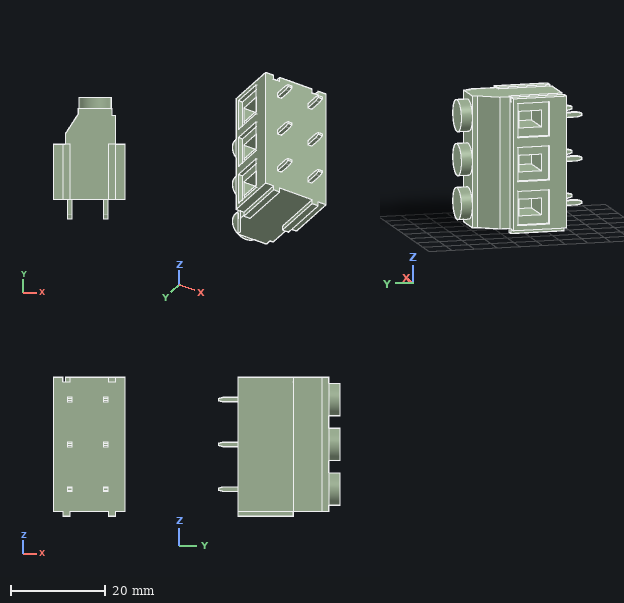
import cadquery as cq


BASE_WIDTH = 15.22
BASE_DEPTH = 11.76
HOUSING_DEPTH = 19.3
RAIL_HEIGHT = 1.0
OVERALL_HEIGHT = 29.55
HOUSING_HEIGHT = OVERALL_HEIGHT - RAIL_HEIGHT

POLES = 3
PITCH = HOUSING_HEIGHT / POLES

TOWER_LEFT = -5.05
TOWER_RIGHT = 5.62
TOP_LEFT = -2.36
TOP_RIGHT = 4.85
SLOPE_START = 14.05
SLOPE_END = 18.18
STEP_DEPTH = 1.4

RAIL_WIDTH = 1.55
RAIL_CENTER = TOWER_RIGHT - RAIL_WIDTH / 2

POCKET_START = 3.78
POCKET_LENGTH = 7.0
POCKET_HEIGHT = 7.42
POCKET_DEPTH = 1.0
WIRE_HOLE_START = 5.32
WIRE_HOLE_LENGTH = 4.95
WIRE_HOLE_HEIGHT = 3.6

SCREW_DIAMETER = 6.92
SCREW_HEIGHT = 2.42
SCREW_X = (TOP_LEFT + TOP_RIGHT) / 2

PIN_SIZE = 1.0
PIN_LENGTH = 4.17
PIN_TAPER = 1.0
PIN_TIP = 0.47
PIN_LEFT = -4.15
PIN_SPACING = 7.63

LEFT_FACE = -BASE_WIDTH / 2
POLE_HEIGHTS = [(pole + 0.5) * PITCH for pole in range(POLES)]


def box(x, y, z, width, depth, height):
    """Box with its lowest corner at (x, y, z)."""
    return cq.Workplane("XY").box(width, depth, height, centered=False).translate((x, y, z))


def make_housing():
    """Wide base with the narrower, sloped and stepped tower behind it."""
    outline = [
        (LEFT_FACE, 0),
        (-LEFT_FACE, 0),
        (-LEFT_FACE, BASE_DEPTH),
        (TOWER_RIGHT, BASE_DEPTH),
        (TOWER_RIGHT, HOUSING_DEPTH - STEP_DEPTH),
        (TOP_RIGHT, HOUSING_DEPTH - STEP_DEPTH),
        (TOP_RIGHT, HOUSING_DEPTH),
        (TOP_LEFT, HOUSING_DEPTH),
        (TOP_LEFT, SLOPE_END),
        (TOWER_LEFT, SLOPE_START),
        (TOWER_LEFT, BASE_DEPTH),
        (LEFT_FACE, BASE_DEPTH),
    ]
    return cq.Workplane("XY").polyline(outline).close().extrude(HOUSING_HEIGHT)


def make_rail(x_center, z_bottom):
    """Bar along the base, used both as a rail and as a groove cutter."""
    return box(x_center - RAIL_WIDTH / 2, 0, z_bottom, RAIL_WIDTH, BASE_DEPTH, RAIL_HEIGHT)


def make_wire_entry(z_center):
    """Shallow pocket with a blind wire hole that ends at the screw axis."""
    pocket = box(
        LEFT_FACE, POCKET_START, z_center - POCKET_HEIGHT / 2,
        POCKET_DEPTH, POCKET_LENGTH, POCKET_HEIGHT,
    )
    hole = box(
        LEFT_FACE, WIRE_HOLE_START, z_center - WIRE_HOLE_HEIGHT / 2,
        SCREW_X - LEFT_FACE, WIRE_HOLE_LENGTH, WIRE_HOLE_HEIGHT,
    )
    return pocket.union(hole)


def make_screw(z_center):
    """Plain round screw head standing on the screw face."""
    base = cq.Workplane("XZ", origin=(SCREW_X, HOUSING_DEPTH, z_center))
    return base.circle(SCREW_DIAMETER / 2).extrude(-SCREW_HEIGHT)


def make_pin(x_center, z_center):
    """Square pin whose end narrows in Z only."""
    profile = [
        (0, -PIN_SIZE / 2),
        (PIN_TAPER - PIN_LENGTH, -PIN_SIZE / 2),
        (-PIN_LENGTH, -PIN_TIP / 2),
        (-PIN_LENGTH, PIN_TIP / 2),
        (PIN_TAPER - PIN_LENGTH, PIN_SIZE / 2),
        (0, PIN_SIZE / 2),
    ]
    side = cq.Workplane("YZ", origin=(x_center, 0, z_center))
    return side.polyline(profile).close().extrude(PIN_SIZE / 2, both=True)


result = make_housing()

for rail_x in (-RAIL_CENTER, RAIL_CENTER):
    result = result.cut(make_rail(rail_x, HOUSING_HEIGHT - RAIL_HEIGHT))
    result = result.union(make_rail(rail_x, -RAIL_HEIGHT))

for pole_z in POLE_HEIGHTS:
    result = result.cut(make_wire_entry(pole_z))
    result = result.union(make_screw(pole_z))
    for pin_x in (PIN_LEFT, PIN_LEFT + PIN_SPACING):
        result = result.union(make_pin(pin_x, pole_z))